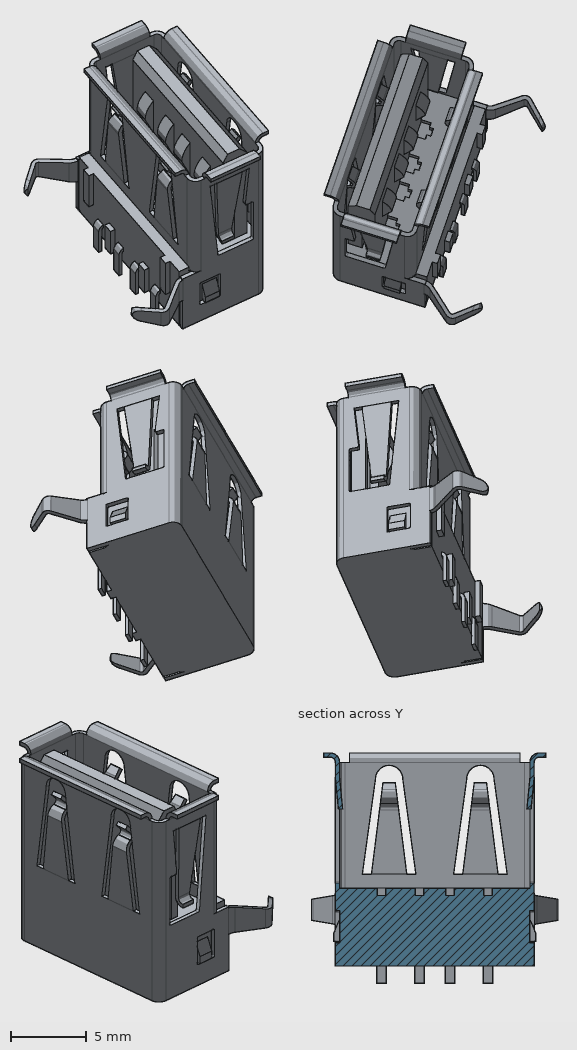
import cadquery as cq
import math

SHEET = 0.3
SHELL_X = 13.1
SHELL_Y = 5.78
SHELL_Z = 13.4
SHELL_RADIUS = 0.65
OPEN_Z = 4.77

SHELL_FRONT = -SHELL_Y / 2
WALL_X = SHELL_X / 2 - SHEET / 2
WALL_Y = SHELL_Y / 2 - SHEET / 2
INNER_X = SHELL_X / 2 - SHEET
INNER_Y = SHELL_Y / 2 - SHEET
INNER_RADIUS = SHELL_RADIUS - SHEET

LIP_RISE = 0.62
LIP_X = 14.6
LIP_Y = 7.27
LONG_LIP_WIDTH = 11.23
SHORT_LIP_WIDTH = 3.86

SPRING_X = 3.0
SLOT_BASE_Z = 6.05
SLOT_BASE_HALF = 1.75
SLOT_SIDE_TOP_Z = 12.29
SLOT_TOP_HALF = 0.9
SLOT_TOP_Z = 13.2
SPRING_BASE_HALF = 1.17
SPRING_TOP_HALF = 0.4
SPRING_TOP_Z = 12.12
SPRING_PATH = [
    (-WALL_Y, SLOT_BASE_Z - SHEET),
    (-WALL_Y, SLOT_BASE_Z),
    (-2.85, 10.7),
    (-1.87, 11.05),
    (-2.78, 11.96),
]
SPRING_BENDS = (0.16, 0.58, 0.42)

WINDOW_TOP_Z = 12.42
WINDOW_STEP_Z = 9.07
WINDOW_BASE_Z = 5.47
WINDOW_TOP_Y = (-1.51, 1.54)
WINDOW_STEP_Y = 1.22
WINDOW_BASE_Y = (-0.9, 1.87)
WINDOW_CORNER = 0.11
SIDE_SPRING_TOP_HALF = 1.02
SIDE_SPRING_TIP_HALF = 0.44
SIDE_SPRING_TIP_Z = 6.18
SIDE_SPRING_BEND_X = 5.81
SIDE_SPRING_BENDS = (0.16, 0.49)

BASE_Z = 5.13
SLAB_X = 12.27
SLAB_FRONT = -3.67
RIB_DEPTH = 0.35
RIB_SPLIT_Z = 2.16
OUTER_RIB_X = 4.7
OUTER_RIB_WIDTH = 0.65
INNER_RIB_X = 2.08
INNER_RIB_WIDTH = 0.7
TONGUE_X = 11.1
TONGUE_FRONT = 0.13
TONGUE_BACK = 2.0
TONGUE_TOP_Z = 13.49
TONGUE_BEVEL_Z = 0.67
TONGUE_FRONT_BEVEL_Y = 0.35
TONGUE_BACK_BEVEL_Y = 0.58
GROOVE_DEPTH = 0.49
GROOVE_FRONT = 0.73
GROOVE_BACK = 1.02
GROOVE_TOP_Z = 10.47

LATCH_WINDOW_Y = (-2.3, -0.7)
LATCH_WINDOW_Z = (1.54, 3.64)
LATCH_Y = (-1.95, -0.85)
LATCH_REACH_X = 6.65
LATCH_Z = (1.62, 2.16, 3.08)

CONTACT_X = (-3.5, -1.0, 1.0, 3.5)
CONTACT_WIDTH = 1.0
CONTACT_TOP_Z = 11.17
CONTACT_CREST_Z = 9.74
CONTACT_END_Z = 8.12
CONTACT_CREST_Y = -0.52
CONTACT_CURVE = (-0.32, 10.58)
PIT_WIDTH = 1.22
PIT_FRONT = -0.55
PIT_NOTCH_WIDTH = 0.55
PIT_NOTCH_FRONT = -0.83
PIT_DEPTH = 0.49
PIN_WIDTH = 0.65
PIN_SHEET = 0.25
PIN_TOP_Z = 1.33
PIN_BEND = 0.39
PIN_BOTTOM_Z = -1.14

LEG_Z = 3.7
LEG_PATH = [(WALL_X, -3.25), (WALL_X, -3.91), (8.08, -5.92), (6.5, -7.61)]
LEG_BENDS = (0.85, 0.34)
LEG_ROOT_HALF = 0.99
LEG_ROOT_Y = -3.67
LEG_TIP_HALF = 0.5
LEG_TIP_ARC_Y = -7.14
LEG_END_Y = -7.65

FAR = 32.46


def box(x_range, y_range, z_range):
    corner = (x_range[0], y_range[0], z_range[0])
    size = (x_range[1] - x_range[0], y_range[1] - y_range[0], z_range[1] - z_range[0])
    return cq.Workplane("XY").box(*size, centered=False).translate(corner)


def centred(width, middle=0.0):
    return (middle - width / 2, middle + width / 2)


def both_sides(shape, plane):
    return shape.union(shape.mirror(plane))


def strip(plane, path, bend_radii, thickness):
    """Outline of a sheet strip whose centre line follows `path`, one radius for each bend."""
    directions = []
    for start, end in zip(path, path[1:]):
        length = math.dist(start, end)
        directions.append(((end[0] - start[0]) / length, (end[1] - start[1]) / length))

    def side(offset):
        """Start, bends and end of the edge lying `offset` to the left of the centre line."""
        def shifted(point, direction):
            return (point[0] - direction[1] * offset, point[1] + direction[0] * offset)

        first = shifted(path[0], directions[0])
        last = shifted(path[-1], directions[-1])
        bends = []
        turns = zip(path[1:-1], bend_radii, directions, directions[1:])
        for corner, bend_radius, (ax, ay), (bx, by) in turns:
            turn = math.atan2(ax * by - ay * bx, ax * bx + ay * by)
            setback = bend_radius * math.tan(abs(turn) / 2)
            entry = (corner[0] - ax * setback, corner[1] - ay * setback)
            leave = (corner[0] + bx * setback, corner[1] + by * setback)
            inward = math.copysign(bend_radius, turn)
            centre = (entry[0] - ay * inward, entry[1] + ax * inward)
            radius = bend_radius - math.copysign(1, turn) * offset
            reach = math.dist(corner, centre)
            middle = tuple(c + (k - c) * radius / reach for c, k in zip(centre, corner))
            bends.append((shifted(entry, (ax, ay)), middle, shifted(leave, (bx, by))))
        return first, bends, last

    first, bends, last = side(thickness / 2)
    outline = cq.Workplane(plane).moveTo(*first)
    for entry, middle, leave in bends:
        outline = outline.lineTo(*entry).threePointArc(middle, leave)
    outline = outline.lineTo(*last)
    first, bends, last = side(-thickness / 2)
    outline = outline.lineTo(*last)
    for entry, middle, leave in reversed(bends):
        outline = outline.lineTo(*leave).threePointArc(middle, entry)
    return outline.lineTo(*first).close()


def rounded_block(size_x, size_y, radius, height):
    return cq.Workplane("XY").rect(size_x, size_y).extrude(height).edges("|Z").fillet(radius)


def shell_tube():
    tube = rounded_block(SHELL_X, SHELL_Y, SHELL_RADIUS, SHELL_Z)
    tube = tube.cut(rounded_block(2 * INNER_X, 2 * INNER_Y, INNER_RADIUS, SHELL_Z))
    corner_y = SHELL_FRONT + SHELL_RADIUS
    tube = tube.cut(box(centred(FAR), (SHELL_FRONT, corner_y), (0, OPEN_Z)))
    flap = box((INNER_X, SHELL_X / 2), (SLAB_FRONT, corner_y), (0, OPEN_Z))
    return tube.union(both_sides(flap, "YZ"))


def lip(plane, wall_middle, reach, width):
    middle_z = SHELL_Z + LIP_RISE - SHEET / 2
    bend = middle_z - SHELL_Z
    path = [(wall_middle, SHELL_Z - SHEET), (wall_middle, middle_z), (reach, middle_z)]
    return strip(plane, path, [bend], SHEET).extrude(width / 2, both=True)


def lips():
    long_lip = lip("YZ", WALL_Y, LIP_Y / 2, LONG_LIP_WIDTH)
    short_lip = lip("XZ", WALL_X, LIP_X / 2, SHORT_LIP_WIDTH)
    return both_sides(long_lip, "XZ").union(both_sides(short_lip, "YZ"))


def spring_slot():
    """Arched opening through the front and back walls."""
    return (
        cq.Workplane("XZ")
        .moveTo(SPRING_X - SLOT_BASE_HALF, SLOT_BASE_Z)
        .lineTo(SPRING_X + SLOT_BASE_HALF, SLOT_BASE_Z)
        .lineTo(SPRING_X + SLOT_TOP_HALF, SLOT_SIDE_TOP_Z)
        .threePointArc((SPRING_X, SLOT_TOP_Z), (SPRING_X - SLOT_TOP_HALF, SLOT_SIDE_TOP_Z))
        .close()
        .extrude(FAR / 2, both=True)
    )


def wall_springs():
    """Springs on the front wall, bowed slightly outwards, then hooked in behind the wall."""
    bent = strip("YZ", SPRING_PATH, SPRING_BENDS, SHEET).extrude(FAR / 2, both=True)
    taper = (
        cq.Workplane("XZ")
        .polyline([
            (SPRING_X - SPRING_BASE_HALF, SLOT_BASE_Z - SHEET),
            (SPRING_X + SPRING_BASE_HALF, SLOT_BASE_Z - SHEET),
            (SPRING_X + SPRING_BASE_HALF, SLOT_BASE_Z),
            (SPRING_X + SPRING_TOP_HALF, SPRING_TOP_Z),
            (SPRING_X - SPRING_TOP_HALF, SPRING_TOP_Z),
            (SPRING_X - SPRING_BASE_HALF, SLOT_BASE_Z),
        ])
        .close()
        .extrude(FAR / 2, both=True)
    )
    return both_sides(bent.intersect(taper), "YZ")


def side_window():
    return (
        cq.Workplane("YZ")
        .polyline([
            (WINDOW_TOP_Y[0], WINDOW_TOP_Z),
            (WINDOW_TOP_Y[1], WINDOW_TOP_Z),
            (WINDOW_STEP_Y, WINDOW_STEP_Z),
            (WINDOW_BASE_Y[1], WINDOW_STEP_Z),
            (WINDOW_BASE_Y[1], WINDOW_BASE_Z),
            (WINDOW_BASE_Y[0], WINDOW_BASE_Z),
        ])
        .close()
        .extrude(FAR / 2, both=True)
        .edges("|X and (not >Z)")
        .fillet(WINDOW_CORNER)
    )


def side_spring():
    """Spring leaning into the shell, with its tip turned back outwards."""
    tip_z = SIDE_SPRING_TIP_Z + SHEET / 2
    path = [
        (WALL_X, WINDOW_TOP_Z + SHEET),
        (WALL_X, WINDOW_TOP_Z),
        (SIDE_SPRING_BEND_X, tip_z),
        (WALL_X, tip_z),
    ]
    bent = strip("XZ", path, SIDE_SPRING_BENDS, SHEET).extrude(FAR / 2, both=True)
    taper = (
        cq.Workplane("YZ")
        .polyline([
            (-SIDE_SPRING_TOP_HALF, WINDOW_TOP_Z + SHEET),
            (SIDE_SPRING_TOP_HALF, WINDOW_TOP_Z + SHEET),
            (SIDE_SPRING_TIP_HALF, SIDE_SPRING_TIP_Z - SHEET),
            (-SIDE_SPRING_TIP_HALF, SIDE_SPRING_TIP_Z - SHEET),
        ])
        .close()
        .extrude(FAR / 2, both=True)
    )
    return bent.intersect(taper)


def latch_window():
    window = box(centred(FAR), LATCH_WINDOW_Y, LATCH_WINDOW_Z)
    return window.edges("|X").fillet(WINDOW_CORNER)


def leg():
    """Retention leg bent out and back, tapering to a round tip."""
    bent = strip("XY", LEG_PATH, LEG_BENDS, SHEET).extrude(SHELL_Z)
    taper = (
        cq.Workplane("YZ")
        .moveTo(LEG_PATH[0][1], LEG_Z - LEG_ROOT_HALF)
        .lineTo(LEG_ROOT_Y, LEG_Z - LEG_ROOT_HALF)
        .lineTo(LEG_TIP_ARC_Y, LEG_Z - LEG_TIP_HALF)
        .threePointArc((LEG_END_Y, LEG_Z), (LEG_TIP_ARC_Y, LEG_Z + LEG_TIP_HALF))
        .lineTo(LEG_ROOT_Y, LEG_Z + LEG_ROOT_HALF)
        .lineTo(LEG_PATH[0][1], LEG_Z + LEG_ROOT_HALF)
        .close()
        .extrude(FAR / 2)
    )
    return bent.intersect(taper)


def shell():
    body = shell_tube().union(lips())
    body = body.cut(both_sides(spring_slot(), "YZ")).cut(side_window()).cut(latch_window())
    body = body.union(both_sides(wall_springs(), "XZ")).union(both_sides(side_spring(), "YZ"))
    return body.union(both_sides(leg(), "YZ"))


def tongue():
    bevel_z = TONGUE_TOP_Z - TONGUE_BEVEL_Z
    return (
        cq.Workplane("YZ")
        .polyline([
            (TONGUE_FRONT, 0),
            (TONGUE_FRONT, bevel_z),
            (TONGUE_FRONT + TONGUE_FRONT_BEVEL_Y, TONGUE_TOP_Z),
            (TONGUE_BACK - TONGUE_BACK_BEVEL_Y, TONGUE_TOP_Z),
            (TONGUE_BACK, bevel_z),
            (TONGUE_BACK, 0),
        ])
        .close()
        .extrude(TONGUE_X / 2, both=True)
    )


def tongue_groove():
    end_x = TONGUE_X / 2
    floor_x = end_x - GROOVE_DEPTH
    return (
        cq.Workplane("XY", origin=(0, 0, BASE_Z))
        .polyline([(end_x, GROOVE_FRONT), (floor_x, GROOVE_BACK), (end_x, GROOVE_BACK)])
        .close()
        .extrude(GROOVE_TOP_Z - BASE_Z)
    )


def ribs():
    rib_y = (SLAB_FRONT - RIB_DEPTH, SLAB_FRONT)
    outer = box(centred(OUTER_RIB_WIDTH, OUTER_RIB_X), rib_y, (RIB_SPLIT_Z, BASE_Z))
    inner = box(centred(INNER_RIB_WIDTH, INNER_RIB_X), rib_y, (0, RIB_SPLIT_Z))
    return both_sides(outer.union(inner), "YZ")


def latch():
    bottom, edge, top = LATCH_Z
    return (
        cq.Workplane("XZ", origin=(0, LATCH_Y[1], 0))
        .polyline([(0, bottom), (LATCH_REACH_X, bottom), (LATCH_REACH_X, edge), (INNER_X, top), (0, top)])
        .close()
        .extrude(LATCH_Y[1] - LATCH_Y[0])
    )


def contact_pit(x):
    """Shallow pit in the base in front of a contact."""
    z_range = (BASE_Z - PIT_DEPTH, BASE_Z)
    pit = box(centred(PIT_WIDTH, x), (PIT_FRONT, TONGUE_FRONT), z_range)
    return pit.union(box(centred(PIT_NOTCH_WIDTH, x), (PIT_NOTCH_FRONT, TONGUE_FRONT), z_range))


def insulator():
    base = rounded_block(2 * INNER_X, 2 * INNER_Y, INNER_RADIUS, BASE_Z)
    base = base.union(box(centred(SLAB_X), (SLAB_FRONT, 0), (0, OPEN_Z)))
    base = base.union(box(centred(SLAB_X), (SLAB_FRONT, SHELL_FRONT), (0, BASE_Z)))
    for x in CONTACT_X:
        base = base.cut(contact_pit(x))
    base = base.union(ribs()).union(both_sides(latch(), "YZ"))
    return base.union(tongue()).cut(both_sides(tongue_groove(), "YZ"))


def contact(x):
    """Part of a contact standing out of the tongue's front face."""
    return (
        cq.Workplane("YZ", origin=(x, 0, 0))
        .moveTo(TONGUE_FRONT, CONTACT_END_Z)
        .lineTo(CONTACT_CREST_Y, CONTACT_CREST_Z)
        .threePointArc(CONTACT_CURVE, (TONGUE_FRONT, CONTACT_TOP_Z))
        .close()
        .extrude(CONTACT_WIDTH / 2, both=True)
    )


def pin(x):
    """Solder pin leaving the slab's front face and turning straight down."""
    pin_y = SLAB_FRONT - RIB_DEPTH + PIN_SHEET / 2
    bend_z = PIN_TOP_Z - PIN_SHEET / 2
    path = [(SLAB_FRONT + PIN_BEND, bend_z), (pin_y, bend_z), (pin_y, PIN_BOTTOM_Z)]
    bent = strip("YZ", path, [PIN_BEND], PIN_SHEET).extrude(PIN_WIDTH / 2, both=True)
    return bent.translate((x, 0, 0))


result = shell().union(insulator())
for contact_x in CONTACT_X:
    result = result.union(contact(contact_x)).union(pin(contact_x))